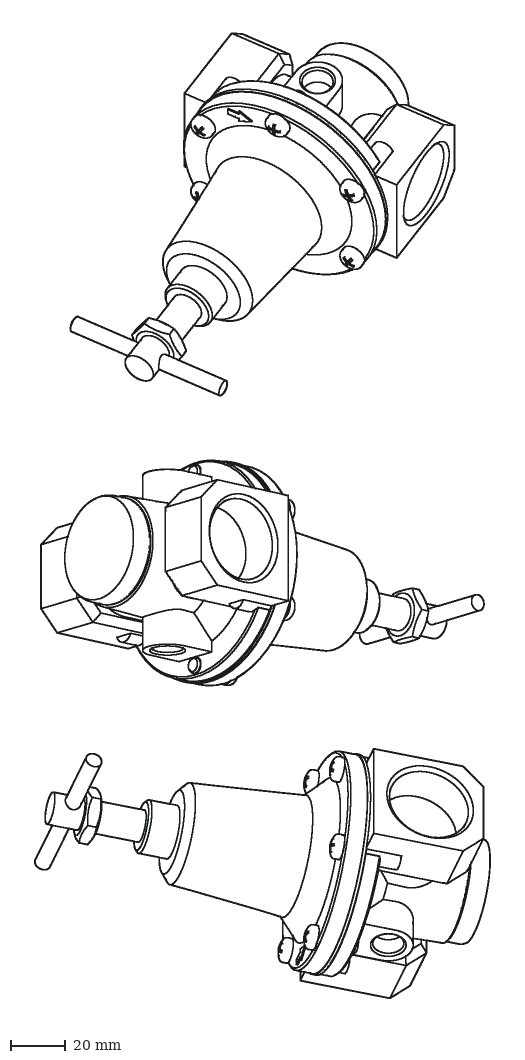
import cadquery as cq
import math


CAP_DIA = 40.0
CAP_END_DIA = 38.6
CAP_END_Y = 31.1
CAP_ROUNDING_LENGTH = 2.1
GROOVE_DIA = 39.1
GROOVE_REAR_Y = 23.6
GROOVE_WIDTH = 0.7
BARREL_REAR_DIA = 41.5
BARREL_FRONT_DIA = 43.7
BARREL_FRONT_Y = -6.8

BODY_FLANGE_DIA = 81.3
BODY_FLANGE_REAR_Y = -15.5
BODY_FLANGE_CHAMFER = 0.7
BODY_FLANGE_WIDTH = 69.1
BODY_CONE_DIA = 61.0
GASKET_DIA = 82.5
GASKET_REAR_Y = -21.5
GASKET_THICKNESS = 1.3
COVER_DIA = 82.0
COVER_THICKNESS = 7.2
COVER_CHAMFER = 0.8

BONNET_FOOT_DIA = 61.8
BONNET_BASE_DIA = 45.6
BONNET_BASE_Y = -38.1
BONNET_TIP_DIA = 38.1
BONNET_TIP_Y = -82.0
BONNET_END_DIA = 31.3
BONNET_END_Y = -85.1
COLLAR_DIA = 20.0
COLLAR_END_Y = -96.8
COLLAR_CHAMFER = 1.0
STEM_DIA = 12.0
LENGTH = 163
NUT_FLATS = 18.5
NUT_REAR_Y = -114.5
NUT_THICKNESS = 5.9
NUT_FACE_DIA = 16.0
NUT_CHAMFER_HEIGHT = 1.3
BAR_DIA = 6.0
BAR_LENGTH = 64.9
BAR_DOME_HEIGHT = 1.0
BAR_Y = -124.9

BLOCK_SPAN = 90.0
BLOCK_HEIGHT = 40.0
BLOCK_REAR_Y = 20.5
BLOCK_FRONT_Y = -21.7
BLOCK_INNER_X = 21.8
BLOCK_REAR_CHAMFER = 7.8
BLOCK_INNER_CHAMFER = 3.1
NECK_RADIUS = 16.3
PORT_DIA = 30.3
PORT_MOUTH_DIA = 33.3
PORT_DEPTH = 16.3

BOSS_RADIUS = 9.1
BOSS_Y = -2.0
BOSS_SPAN = 66.3
GAUGE_DIA = 11.4
GAUGE_MOUTH_DIA = 13
GAUGE_DEPTH = 7.2

BOLT_CIRCLE_RADIUS = 36.5
SCREW_COUNT = 6
FIRST_SCREW_ANGLE = 30
SCREW_HEAD_DIA = 9.3
SCREW_RIM_HEIGHT = 1.6
SCREW_CROWN_DIA = 7.8
SCREW_CROWN_HEIGHT = 3.0
SCREW_HEAD_HEIGHT = 4.0
CROSS_LENGTH = 4.9
CROSS_WIDTH = 0.8
CROSS_DEPTH = 1.3
SCREW_TAIL_DIA = 6.0
SCREW_TAIL_END_DIA = 5.0
SCREW_TAIL_END_Y = -14.2
SCREW_TAIL_CHAMFER_LENGTH = 1.0
LUG_DIA = 8.5
LUG_REAR_Y = -8.0
LUG_ANGLES = (30, 150, 210, 330)

ARROW_TAIL_X = -21.5
ARROW_NECK_X = -16.8
ARROW_TIP_X = -11.4
ARROW_SHAFT_WIDTH = 2.5
ARROW_HEAD_WIDTH = 5.2
ARROW_Z = 31.5
ARROW_HEIGHT = 0.5

cover_rear_y = GASKET_REAR_Y - GASKET_THICKNESS
cover_face_y = cover_rear_y - COVER_THICKNESS
stem_end_y = CAP_END_Y - LENGTH


def turned(diameters_and_heights):
    """Solid of revolution about Y from (diameter, y) stations."""
    first_y = diameters_and_heights[0][1]
    last_y = diameters_and_heights[-1][1]
    outline = [(diameter / 2, y) for diameter, y in diameters_and_heights]
    return (
        cq.Workplane("XY")
        .polyline([(0, first_y)] + outline + [(0, last_y)])
        .close()
        .revolve(360, (0, 0), (0, 1))
    )


def slab(half_width_x, y_from, y_to, half_height_z):
    """Box centred on the Y axis."""
    return cq.Workplane("XY").box(
        2 * half_width_x, y_to - y_from, 2 * half_height_z
    ).translate((0, (y_from + y_to) / 2, 0))


def dome_middle(edge_radius, edge_y, top_y):
    """Halfway point of the arc from a dome's edge to its top at -Y."""
    height = edge_y - top_y
    dome_radius = (edge_radius ** 2 + height ** 2) / (2 * height)
    half_angle = math.asin(edge_radius / dome_radius) / 2
    return (
        dome_radius * math.sin(half_angle),
        top_y + dome_radius * (1 - math.cos(half_angle)),
    )


def cap():
    """Rear cap with a rounded rim, running forward to the groove."""
    cap_radius = CAP_DIA / 2
    return (
        cq.Workplane("XY")
        .moveTo(0, GROOVE_REAR_Y)
        .lineTo(cap_radius, GROOVE_REAR_Y)
        .lineTo(cap_radius, CAP_END_Y - CAP_ROUNDING_LENGTH)
        .tangentArcPoint((CAP_END_DIA / 2, CAP_END_Y), relative=False)
        .lineTo(0, CAP_END_Y)
        .close()
        .revolve(360, (0, 0), (0, 1))
    )


def barrel():
    """Groove floor, tapered barrel and the cone that spreads out to the flange."""
    barrel_rear_y = GROOVE_REAR_Y - GROOVE_WIDTH
    return turned([
        (GROOVE_DIA, GROOVE_REAR_Y),
        (GROOVE_DIA, barrel_rear_y),
        (BARREL_REAR_DIA, barrel_rear_y),
        (BARREL_FRONT_DIA, BARREL_FRONT_Y),
        (BODY_CONE_DIA, BODY_FLANGE_REAR_Y),
        (BODY_CONE_DIA, GASKET_REAR_Y),
    ])


def body_flange():
    """Disc with flats on its two sides."""
    disc = turned([
        (BODY_FLANGE_DIA - 2 * BODY_FLANGE_CHAMFER, BODY_FLANGE_REAR_Y),
        (BODY_FLANGE_DIA, BODY_FLANGE_REAR_Y - BODY_FLANGE_CHAMFER),
        (BODY_FLANGE_DIA, GASKET_REAR_Y),
    ])
    return disc.intersect(
        slab(BODY_FLANGE_WIDTH / 2, GASKET_REAR_Y, BODY_FLANGE_REAR_Y, BODY_FLANGE_DIA / 2)
    )


def cover_bonnet_and_stem():
    return turned([
        (GASKET_DIA, GASKET_REAR_Y),
        (GASKET_DIA, cover_rear_y),
        (COVER_DIA, cover_rear_y),
        (COVER_DIA, cover_face_y + COVER_CHAMFER),
        (COVER_DIA - 2 * COVER_CHAMFER, cover_face_y),
        (BONNET_FOOT_DIA, cover_face_y),
        (BONNET_BASE_DIA, BONNET_BASE_Y),
        (BONNET_TIP_DIA, BONNET_TIP_Y),
        (BONNET_END_DIA, BONNET_END_Y),
        (COLLAR_DIA, BONNET_END_Y),
        (COLLAR_DIA, COLLAR_END_Y + COLLAR_CHAMFER),
        (COLLAR_DIA - 2 * COLLAR_CHAMFER, COLLAR_END_Y),
        (STEM_DIA, COLLAR_END_Y),
        (STEM_DIA, stem_end_y),
    ])


def lock_nut():
    """Hexagon with corners on X, bevelled at both faces."""
    corner_dia = NUT_FLATS / math.cos(math.pi / 6)
    front_y = NUT_REAR_Y - NUT_THICKNESS
    hexagon = (
        cq.Workplane("XZ", origin=(0, NUT_REAR_Y, 0))
        .polygon(6, corner_dia)
        .extrude(NUT_THICKNESS)
    )
    bevel = turned([
        (NUT_FACE_DIA, NUT_REAR_Y),
        (corner_dia, NUT_REAR_Y - NUT_CHAMFER_HEIGHT),
        (corner_dia, front_y + NUT_CHAMFER_HEIGHT),
        (NUT_FACE_DIA, front_y),
    ])
    return hexagon.intersect(bevel)


def handle_bar():
    """Cross bar with shallow domed ends."""
    radius = BAR_DIA / 2
    end = BAR_LENGTH / 2
    shoulder = end - BAR_DOME_HEIGHT
    middle_radius, middle = dome_middle(radius, -shoulder, -end)
    bar = (
        cq.Workplane("XY")
        .moveTo(0, -end)
        .threePointArc((middle_radius, middle), (radius, -shoulder))
        .lineTo(radius, shoulder)
        .threePointArc((middle_radius, -middle), (0, end))
        .close()
        .revolve(360, (0, 0), (0, 1))
    )
    return bar.rotate((0, 0, 0), (0, 0, 1), 90).translate((0, BAR_Y, 0))


def port_block():
    """Block on the +X side, bevelled at the rear and around its inner face."""
    width = BLOCK_SPAN / 2 - BLOCK_INNER_X
    depth = BLOCK_REAR_Y - BLOCK_FRONT_Y
    return (
        cq.Workplane("XY")
        .box(width, depth, BLOCK_HEIGHT)
        .edges(">Y and |X")
        .chamfer(BLOCK_REAR_CHAMFER)
        .faces("<X")
        .edges("not <Y")
        .chamfer(BLOCK_INNER_CHAMFER)
        .translate((BLOCK_INNER_X + width / 2, BLOCK_FRONT_Y + depth / 2, 0))
    )


def necks():
    """Round-backed bar joining both port blocks through the barrel."""
    reach = BLOCK_INNER_X + BLOCK_INNER_CHAMFER
    round_back = cq.Workplane("YZ").circle(NECK_RADIUS).extrude(reach, both=True)
    return round_back.union(slab(reach, GASKET_REAR_Y, 0, NECK_RADIUS))


def gauge_bosses():
    """Round-backed boss running from top to bottom, merged into the flange."""
    half_span = BOSS_SPAN / 2
    round_back = (
        cq.Workplane("XY")
        .center(0, BOSS_Y)
        .circle(BOSS_RADIUS)
        .extrude(half_span, both=True)
    )
    return round_back.union(slab(BOSS_RADIUS, GASKET_REAR_Y, BOSS_Y, half_span))


def blind_hole(diameter, mouth_diameter, depth):
    """Cutter going down from the origin, with a 45 degree countersunk mouth."""
    mouth_depth = (mouth_diameter - diameter) / 2
    return turned([
        (mouth_diameter, 0),
        (diameter, -mouth_depth),
        (diameter, -depth),
    ])


def screw():
    """Domed cross-head screw on the Y axis, its tail behind the body flange."""
    head_radius = SCREW_HEAD_DIA / 2
    crown_radius = SCREW_CROWN_DIA / 2
    rim_y = cover_face_y - SCREW_RIM_HEIGHT
    crown_y = cover_face_y - SCREW_CROWN_HEIGHT
    top_y = cover_face_y - SCREW_HEAD_HEIGHT
    head = (
        cq.Workplane("XY")
        .moveTo(0, cover_face_y)
        .lineTo(head_radius, cover_face_y)
        .lineTo(head_radius, rim_y)
        .tangentArcPoint((crown_radius, crown_y), relative=False)
        .threePointArc(dome_middle(crown_radius, crown_y, top_y), (0, top_y))
        .close()
        .revolve(360, (0, 0), (0, 1))
    )
    for width_x, width_z in ((CROSS_LENGTH, CROSS_WIDTH), (CROSS_WIDTH, CROSS_LENGTH)):
        head = head.cut(slab(width_x / 2, top_y, top_y + CROSS_DEPTH, width_z / 2))
    shank = turned([
        (SCREW_TAIL_END_DIA, SCREW_TAIL_END_Y),
        (SCREW_TAIL_DIA, SCREW_TAIL_END_Y - SCREW_TAIL_CHAMFER_LENGTH),
        (SCREW_TAIL_DIA, cover_face_y),
    ])
    return head.union(shank)


def on_bolt_circle(solid, angle):
    """Carry a solid from the Y axis to the bolt circle, turned to face outward."""
    return solid.translate((BOLT_CIRCLE_RADIUS, 0, 0)).rotate((0, 0, 0), (0, 1, 0), angle)


def flow_arrow(z):
    half_shaft = ARROW_SHAFT_WIDTH / 2
    half_head = ARROW_HEAD_WIDTH / 2
    upper = [(ARROW_TAIL_X, half_shaft), (ARROW_NECK_X, half_shaft), (ARROW_NECK_X, half_head)]
    lower = [(x, -height) for x, height in reversed(upper)]
    return (
        cq.Workplane("XZ", origin=(0, cover_face_y, z))
        .polyline(upper + [(ARROW_TIP_X, 0)] + lower)
        .close()
        .extrude(ARROW_HEIGHT)
    )


result = cap().union(barrel()).union(necks()).union(gauge_bosses()).union(body_flange())
block = port_block()
result = result.union(block).union(block.mirror("YZ"))

lug = turned([(LUG_DIA, LUG_REAR_Y), (LUG_DIA, GASKET_REAR_Y)])
for lug_angle in LUG_ANGLES:
    result = result.union(on_bolt_circle(lug, lug_angle))

port = blind_hole(PORT_DIA, PORT_MOUTH_DIA, PORT_DEPTH)
gauge_hole = blind_hole(GAUGE_DIA, GAUGE_MOUTH_DIA, GAUGE_DEPTH)
for side in (1, -1):
    port_cutter = port.rotate((0, 0, 0), (0, 0, 1), -90 * side)
    result = result.cut(port_cutter.translate((side * BLOCK_SPAN / 2, 0, 0)))
    gauge_cutter = gauge_hole.rotate((0, 0, 0), (1, 0, 0), 90 * side)
    result = result.cut(gauge_cutter.translate((0, BOSS_Y, side * BOSS_SPAN / 2)))

result = result.union(cover_bonnet_and_stem()).union(lock_nut()).union(handle_bar())

one_screw = screw()
for index in range(SCREW_COUNT):
    result = result.union(on_bolt_circle(one_screw, FIRST_SCREW_ANGLE + index * 360 / SCREW_COUNT))
for arrow_z in (ARROW_Z, -ARROW_Z):
    result = result.union(flow_arrow(arrow_z))